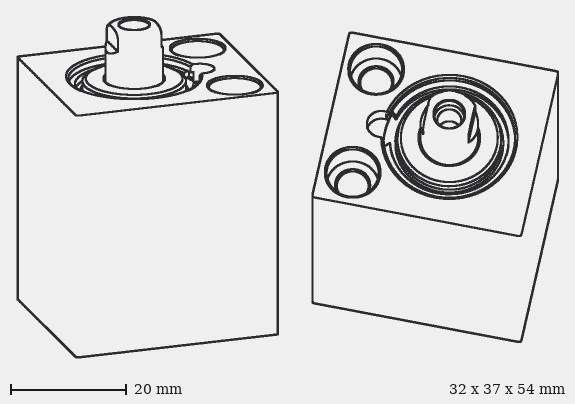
import cadquery as cq
import math

block_width = 32.0
block_depth = 37.0
overall_height = 54.0
block_height = 44.5
corner_radius = 0.5

axis_y = -2.5

seat_diameter = 22.8
seat_mouth_diameter = 23.6
groove_diameter = 24.0
ring_bore_diameter = 20.5
ring_depth = 1.45
ring_thickness = 1.25
floor_z = block_height - ring_depth - ring_thickness
gap_inner_width = 5.1
gap_side_angle = 45.0

slot_width = 4.95
slot_centre_y = axis_y + 12.05
slot_depth = 3.25

bolt_spacing = 20.0
bolt_y = 12.55
bolt_diameter = 5.5
bolt_mouth_diameter = 6.1
counterbore_diameter = 9.0
counterbore_mouth_diameter = 9.65
counterbore_depth = 5.4

cover_depth = 8.1
cover_bottom_z = floor_z - cover_depth
cover_top_z = block_height - 0.45
cover_top_diameter = 16.8
cover_boss_diameter = 18.0
cover_foot_diameter = 18.75
cover_chamfer_height = 0.45
cover_foot_height = 0.4
rod_mouth_diameter = 10.7

rod_diameter = 10.0
rod_fillet = 1.4
flats_width = 8.0
flats_length = 3.5
socket_mouth_diameter = 5.5
socket_diameter = 5.25
socket_depth = 2.0
thread_core_diameter = 4.15
thread_depth = 7.55


def disc(diameter, bottom_z, height):
    """Cylinder on the rod axis."""
    return cq.Workplane("XY", origin=(0, axis_y, bottom_z)).circle(diameter / 2).extrude(height)


def cone(bottom_diameter, top_diameter, bottom_z, height, x=0.0, y=axis_y):
    """Upright truncated cone."""
    return cq.Workplane(
        cq.Solid.makeCone(bottom_diameter / 2, top_diameter / 2, height, pnt=cq.Vector(x, y, bottom_z))
    )


def mouth_chamfer(hole_diameter, mouth_diameter, top_z, x=0.0, y=axis_y):
    """Cutter for a 45 degree chamfer around the mouth of a hole."""
    height = (mouth_diameter - hole_diameter) / 2
    return cone(hole_diameter, mouth_diameter, top_z - height, height, x, y)


def ring_gap():
    """Wedge, wider outwards, that opens the retaining ring."""
    inner_half = gap_inner_width / 2
    inner_y = axis_y + math.sqrt((ring_bore_diameter / 2) ** 2 - inner_half ** 2)
    flare = groove_diameter / 2
    outer_half = inner_half + flare * math.tan(math.radians(gap_side_angle))
    outline = [
        (-inner_half, axis_y),
        (-inner_half, inner_y),
        (-outer_half, inner_y + flare),
        (outer_half, inner_y + flare),
        (inner_half, inner_y),
        (inner_half, axis_y),
    ]
    return cq.Workplane("XY", origin=(0, 0, floor_z)).polyline(outline).close().extrude(ring_thickness)


def retaining_ring():
    ring = disc(groove_diameter, floor_z, ring_thickness)
    ring = ring.cut(disc(ring_bore_diameter, floor_z, ring_thickness))
    return ring.cut(ring_gap())


def make_housing():
    block = cq.Workplane("XY").rect(block_width, block_depth).extrude(block_height)
    block = block.edges("|Z").fillet(corner_radius)

    slot_floor = cq.Workplane("XY", origin=(0, 0, block_height - slot_depth))
    slot = slot_floor.center(0, slot_centre_y).circle(slot_width / 2).extrude(slot_depth)
    slot_run = slot_centre_y - axis_y
    slot = slot.union(
        slot_floor.center(0, slot_centre_y - slot_run / 2).rect(slot_width, slot_run).extrude(slot_depth)
    )
    block = block.cut(slot)

    block = block.cut(disc(seat_diameter, cover_bottom_z, block_height - cover_bottom_z))
    block = block.cut(mouth_chamfer(seat_diameter, seat_mouth_diameter, block_height))
    block = block.cut(disc(groove_diameter, floor_z, ring_thickness))

    for x in (-bolt_spacing / 2, bolt_spacing / 2):
        seat_z = block_height - counterbore_depth
        hole = cq.Workplane("XY", origin=(x, bolt_y, 0))
        block = block.cut(hole.circle(bolt_diameter / 2).extrude(block_height))
        block = block.cut(
            hole.workplane(offset=seat_z).circle(counterbore_diameter / 2).extrude(counterbore_depth)
        )
        block = block.cut(mouth_chamfer(bolt_diameter, bolt_mouth_diameter, seat_z, x, bolt_y))
        block = block.cut(
            mouth_chamfer(counterbore_diameter, counterbore_mouth_diameter, block_height, x, bolt_y)
        )
    return block


def make_cover():
    cover = disc(seat_diameter, cover_bottom_z, cover_depth)
    cover = cover.union(disc(cover_boss_diameter, floor_z, cover_top_z - cover_chamfer_height - floor_z))
    cover = cover.union(cone(cover_foot_diameter, cover_boss_diameter, floor_z, cover_foot_height))
    cover = cover.union(
        cone(
            cover_boss_diameter,
            cover_top_diameter,
            cover_top_z - cover_chamfer_height,
            cover_chamfer_height,
        )
    )
    cover = cover.union(retaining_ring())
    cover = cover.cut(disc(rod_diameter, cover_bottom_z, overall_height))
    return cover.cut(mouth_chamfer(rod_diameter, rod_mouth_diameter, cover_top_z))


def make_rod():
    rod = disc(rod_diameter, cover_bottom_z, overall_height - cover_bottom_z).faces(">Z").edges().fillet(rod_fillet)

    flats_z = overall_height - flats_length
    flat_y = flats_width / 2
    run_out = rod_diameter / 2
    for side in (-1, 1):
        outline = [
            (axis_y + side * flat_y, overall_height),
            (axis_y + side * flat_y, flats_z),
            (axis_y + side * (flat_y + run_out), flats_z - run_out),
            (axis_y + side * (flat_y + run_out), overall_height),
        ]
        flat = cq.Workplane("YZ").polyline(outline).close().extrude(rod_diameter / 2, both=True)
        rod = rod.cut(flat)

    socket_z = overall_height - socket_depth
    taper_height = (socket_diameter - thread_core_diameter) / 2
    rod = rod.cut(disc(socket_diameter, socket_z, socket_depth))
    rod = rod.cut(mouth_chamfer(socket_diameter, socket_mouth_diameter, overall_height))
    rod = rod.cut(cone(thread_core_diameter, socket_diameter, socket_z - taper_height, taper_height))
    return rod.cut(disc(thread_core_diameter, overall_height - thread_depth, thread_depth))


housing = make_housing()
cover = make_cover()
rod = make_rod()

result = cq.Compound.makeCompound([housing.val(), cover.val(), rod.val()])